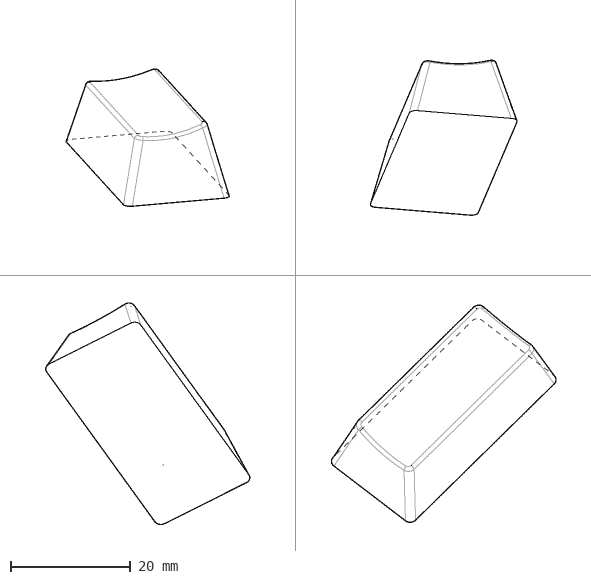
import cadquery as cq
import math

base_length = 37.35
base_width = 18.3
wall_draft = 14.0
blank_height = 14.95

dish_radius = 21.3
dish_center_y = -2.55
dish_floor = 10.8

corner_radius = 1.25
rim_radius = 0.65


def tapered_body():
    """Truncated pyramid with rounded sloping corners."""
    inset = blank_height * math.tan(math.radians(wall_draft))
    body = (
        cq.Workplane("XY")
        .rect(base_length, base_width)
        .workplane(offset=blank_height)
        .rect(base_length - 2 * inset, base_width - 2 * inset)
        .loft(ruled=True)
    )
    sloping_corners = "not(#Z or |X or |Y)"
    return body.edges(sloping_corners).fillet(corner_radius)


def dish_cutter():
    """Cylinder along X whose underside forms the dish."""
    return (
        cq.Workplane("YZ", origin=(-base_length / 2, 0, 0))
        .center(dish_center_y, dish_floor + dish_radius)
        .circle(dish_radius)
        .extrude(base_length)
    )


dished_body = tapered_body().cut(dish_cutter())
dish_rim = dished_body.faces(">Z").edges()
result = dish_rim.fillet(rim_radius)